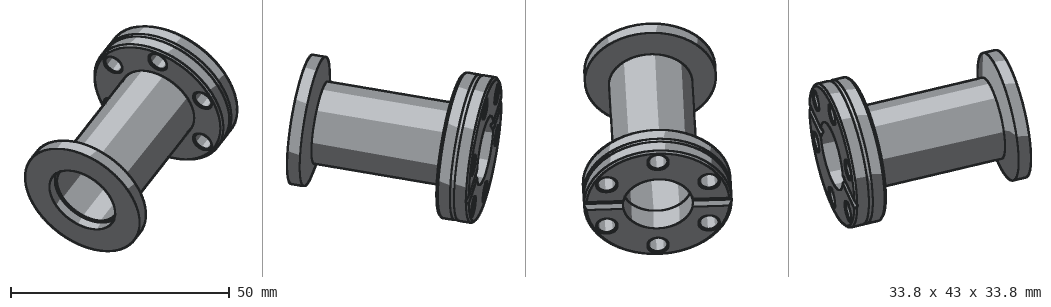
import cadquery as cq
import math

TOTAL_LENGTH = 43.0

TUBE_DIAMETER = 19.1
BORE_DIAMETER = 16.0

CLAMP_DIAMETER = 30.0
CLAMP_BORE_DIAMETER = 17.2
CLAMP_RIM_THICKNESS = 3.0
TAPER_ANGLE = 15.0
CLAMP_BORE_DEPTH = 2.5

BOLTED_DIAMETER = 33.8
BOLTED_THICKNESS = 7.6
RIM_CHAMFER = 0.5
RIM_GROOVE_WIDTH = 0.95
RIM_GROOVE_DEPTH = 0.2
BOLT_COUNT = 6
BOLT_HOLE_DIAMETER = 4.4
BOLT_CIRCLE_DIAMETER = 27.0
BOLT_HOLE_CHAMFER = 0.25
LEAK_NOTCH_WIDTH = 2.6
LEAK_NOTCH_DEPTH = 0.65

FRONT = -TOTAL_LENGTH / 2
BACK = TOTAL_LENGTH / 2
RIM_BACK = FRONT + CLAMP_RIM_THICKNESS
TAPER_LENGTH = (CLAMP_DIAMETER - TUBE_DIAMETER) / 2 * math.tan(math.radians(TAPER_ANGLE))
TAPER_END = RIM_BACK + TAPER_LENGTH
BOLTED_FRONT = BACK - BOLTED_THICKNESS
BOLTED_MIDDLE = (BOLTED_FRONT + BACK) / 2

TUBE_START = FRONT + CLAMP_BORE_DEPTH
SOCKET_DEPTH = TAPER_END - TUBE_START
TUBE_END = BOLTED_FRONT + SOCKET_DEPTH


def cylinder(diameter, start, end):
    """Solid cylinder on the Y axis between two Y positions."""
    return cq.Workplane("XZ", origin=(0, start, 0)).circle(diameter / 2).extrude(start - end)


def make_tube():
    return cylinder(TUBE_DIAMETER, TUBE_START, TUBE_END).cut(
        cylinder(BORE_DIAMETER, TUBE_START, TUBE_END)
    )


def make_clamp_flange():
    """Ring whose section steps out from the bore to the tube socket, with a tapered back."""
    bore_radius = CLAMP_BORE_DIAMETER / 2
    tube_radius = TUBE_DIAMETER / 2
    rim_radius = CLAMP_DIAMETER / 2
    section = [
        (bore_radius, FRONT),
        (rim_radius, FRONT),
        (rim_radius, RIM_BACK),
        (tube_radius, TAPER_END),
        (tube_radius, TUBE_START),
        (bore_radius, TUBE_START),
    ]
    return cq.Workplane("XY").polyline(section).close().revolve(360, (0, 0, 0), (0, 1, 0))


def rim_groove():
    """Shallow round-bottomed groove around the middle of the bolted flange's rim."""
    radius = BOLTED_DIAMETER / 2
    half_width = RIM_GROOVE_WIDTH / 2
    return (
        cq.Workplane("XY")
        .moveTo(radius, BOLTED_MIDDLE - half_width)
        .threePointArc(
            (radius - RIM_GROOVE_DEPTH, BOLTED_MIDDLE),
            (radius, BOLTED_MIDDLE + half_width),
        )
        .close()
        .revolve(360, (0, 0, 0), (0, 1, 0))
    )


def bolt_hole(angle):
    """Through hole with both rims chamfered, turned about Y from the +Z direction."""
    radius = BOLT_HOLE_DIAMETER / 2
    mouth_radius = radius + BOLT_HOLE_CHAMFER
    section = [
        (0, BOLTED_FRONT),
        (mouth_radius, BOLTED_FRONT),
        (radius, BOLTED_FRONT + BOLT_HOLE_CHAMFER),
        (radius, BACK - BOLT_HOLE_CHAMFER),
        (mouth_radius, BACK),
        (0, BACK),
    ]
    hole = cq.Workplane("XY").polyline(section).close().revolve(360, (0, 0, 0), (0, 1, 0))
    return hole.translate((0, 0, BOLT_CIRCLE_DIAMETER / 2)).rotate((0, 0, 0), (0, 1, 0), angle)


def leak_notch():
    """V-shaped notch across the back face, running along X."""
    half_width = LEAK_NOTCH_WIDTH / 2
    return (
        cq.Workplane("YZ")
        .polyline([(BACK, -half_width), (BACK - LEAK_NOTCH_DEPTH, 0), (BACK, half_width)])
        .close()
        .extrude(BOLTED_DIAMETER / 2, both=True)
    )


def make_bolted_flange():
    flange = cylinder(BOLTED_DIAMETER, BOLTED_FRONT, BACK).edges().chamfer(RIM_CHAMFER)
    flange = flange.cut(cylinder(BORE_DIAMETER, BOLTED_FRONT, BACK))
    flange = flange.cut(cylinder(TUBE_DIAMETER, BOLTED_FRONT, TUBE_END))
    flange = flange.cut(rim_groove())
    for index in range(BOLT_COUNT):
        flange = flange.cut(bolt_hole(index * 360 / BOLT_COUNT))
    return flange.cut(leak_notch())


tube = make_tube()
clamp_flange = make_clamp_flange()
bolted_flange = make_bolted_flange()

result = cq.Compound.makeCompound([tube.val(), clamp_flange.val(), bolted_flange.val()])